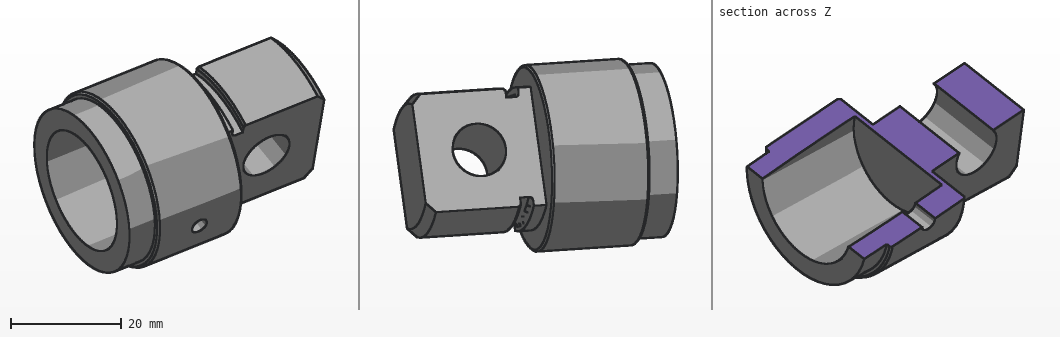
import cadquery as cq
import math

shoulder = 5.5
body_end = 23.8
tang_end = 46.2
tilt = 7.6

spigot_diameter = 31.75
body_diameter = 34.0
body_chamfer = 0.4
bore_diameter = 23.35
bore_depth = 22.7
side_hole_diameter = 3.15
side_hole_station = (shoulder + body_end) / 2

tang_width = 15.95
tang_height = 25.47
crown_rise = 1.55
crown_radius = ((tang_width / 2) ** 2 + crown_rise**2) / (2 * crown_rise)
tang_chamfer = 1.7
tang_embed = (body_end - bore_depth) / 2
eye_diameter = 9.9
eye_station = 34.9

groove_front = 26.15
groove_back = 28.55
groove_depth = 1.6
groove_fillet = 0.75
groove_chamfer = 0.4


def axial_cylinder(diameter, start, end):
    """Cylinder along the Y axis between two stations."""
    plane = cq.Workplane("XZ", origin=(0, start, 0))
    return plane.circle(diameter / 2).extrude(start - end)


def crowned_bar(inset, start, end):
    """Bar along Y with flat sides; its arches lie concentrically inside the tang's by the inset."""
    half_width = tang_width / 2
    crown = tang_height / 2 - inset
    radius = crown_radius - inset
    edge = crown - radius + math.sqrt(radius**2 - half_width**2)
    return (
        cq.Workplane("XZ", origin=(0, start, 0))
        .moveTo(-half_width, -edge)
        .lineTo(-half_width, edge)
        .threePointArc((0, crown), (half_width, edge))
        .lineTo(half_width, -edge)
        .threePointArc((0, -crown), (-half_width, -edge))
        .close()
        .extrude(start - end)
    )


def make_body():
    barrel = axial_cylinder(body_diameter, shoulder, body_end).faces("<Y or >Y").chamfer(body_chamfer)
    spigot = axial_cylinder(spigot_diameter, 0, shoulder + body_chamfer)
    return barrel.union(spigot)


def make_tang():
    collar = crowned_bar(0, body_end - tang_embed, groove_front)
    neck = crowned_bar(groove_depth, groove_front, groove_back)
    blade = (
        crowned_bar(0, groove_back, tang_end)
        .edges(">Y and (not |Z)")
        .chamfer(tang_chamfer)
        .edges("<Y and (not |Z)")
        .chamfer(groove_chamfer)
    )
    return collar.union(neck).union(blade)


def fillet_groove_roots(part):
    """Round the root of each groove on the side next to the body."""
    root_height = tang_height / 2 - groove_depth
    for side in (-1, 1):
        root = cq.selectors.NearestToPointSelector((0, groove_front, side * root_height))
        part = part.edges(root).fillet(groove_fillet)
    return part


def cut_holes(part):
    bore = axial_cylinder(bore_diameter, 0, bore_depth)
    eye = (
        cq.Workplane("YZ")
        .center(eye_station, 0)
        .circle(eye_diameter / 2)
        .extrude(tang_width / 2, both=True)
    )
    side_hole = (
        cq.Workplane("YZ")
        .center(side_hole_station, 0)
        .circle(side_hole_diameter / 2)
        .extrude(body_diameter / 2)
    )
    return part.cut(bore).cut(eye).cut(side_hole)


part = make_body().union(fillet_groove_roots(make_tang()))
part = cut_holes(part)
result = part.rotate((0, 0, 0), (1, 0, 0), -tilt)